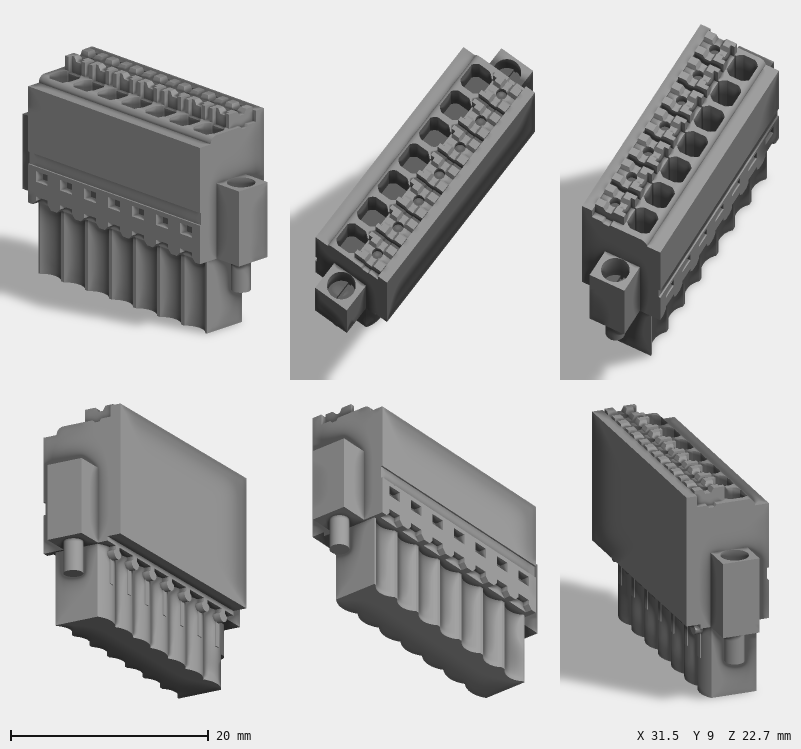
import cadquery as cq
import math


pole_count = 7
pole_pitch = 3.5
top_shift = 0.1

overall_length = 31.5
shell_length = 25.0
shell_depth = 9.0
back_edge_z = 0.47
back_step_y = 7.5
shelf_z = 12.55
deck_z = 13.32
deck_front_y = 1.5
ridge_front_y = 7.88
ridge_z = 14.52
front_groove_low_z = 4.15
front_groove_high_z = 5.5
front_groove_depth = 0.2

deck_groove_center_y = 6.25
deck_groove_top = 1.0
deck_groove_bottom = 0.63
deck_groove_depth = 0.28

wire_hole_radius = 1.58
wire_hole_center_y = 3.15
wire_hole_width = 2.87
wire_hole_front_y = 1.9
wire_hole_depth = 4.72

window_width = 1.7
window_low_z = 2.55
window_height = 1.13
window_depth = 0.95
slot_height = 0.95
slot_depth = 0.75
slot_chamfer = 0.47

plug_front_y = 1.23
plug_side_back_y = 6.17
plug_height = 7.88
scallop_width = 3.05
scallop_depth = 0.65
bulge_depth = 0.57
back_rib_width = 0.63
back_rib_y = 6.85
back_rib_low_z = -3.95

knob_neck_width = 0.7
knob_neck_z = -0.35
knob_width = 1.45
knob_shoulder_z = -0.63
knob_low_z = -1.35

flange_front_y = 2.35
flange_depth = 4.0
flange_height = 8.1

lever_width = 2.87
lever_front_y = 4.57
lever_top_z = 14.85
lever_recess_width = 1.92
lever_recess_depth = 0.47
cross_center_y = 6.35
cross_top = 1.2
cross_bottom = 0.63
cross_depth = 0.5
probe_hole_diameter = 1.13

screw_x = 14.0
screw_head_diameter = 2.9
screw_head_height = 1.9
screw_head_recess = 3.15
screw_shaft_diameter = 2.02
screw_low_z = -3.43
screw_slot_width = 0.38
screw_slot_depth = 0.63

deck_radius = deck_z - shelf_z
pole_xs = [(i - (pole_count - 1) / 2) * pole_pitch for i in range(pole_count)]
top_xs = [x + top_shift for x in pole_xs]
plug_length = pole_count * pole_pitch
plug_back_y = plug_side_back_y + bulge_depth
deck_groove_z = deck_z - deck_groove_depth
flange_center_y = flange_front_y + flange_depth / 2
screw_head_top_z = flange_height - screw_head_recess
screw_head_low_z = screw_head_top_z - screw_head_height


def block(x_range, y_range, z_range):
    """Box between two X, two Y and two Z values."""
    size = [high - low for low, high in (x_range, y_range, z_range)]
    return cq.Workplane("XY").box(*size, centered=False).translate(
        (x_range[0], y_range[0], z_range[0])
    )


def span(center, width):
    """Range of the given width about a center."""
    return center - width / 2, center + width / 2


def shell():
    """Shell: one side outline run along X."""
    arc_reach = deck_radius * math.cos(math.radians(45))
    arc_middle = (deck_front_y + deck_radius - arc_reach, shelf_z + arc_reach)
    arc_end = (deck_front_y + deck_radius, deck_z)
    groove_top_front, groove_top_back = span(deck_groove_center_y, deck_groove_top)
    groove_low_front, groove_low_back = span(deck_groove_center_y, deck_groove_bottom)
    return (
        cq.Workplane("YZ")
        .moveTo(0, 0)
        .lineTo(0, front_groove_low_z)
        .lineTo(front_groove_depth, front_groove_low_z)
        .lineTo(front_groove_depth, front_groove_high_z)
        .lineTo(0, front_groove_high_z)
        .lineTo(0, shelf_z)
        .lineTo(deck_front_y, shelf_z)
        .threePointArc(arc_middle, arc_end)
        .lineTo(groove_top_front, deck_z)
        .lineTo(groove_low_front, deck_groove_z)
        .lineTo(groove_low_back, deck_groove_z)
        .lineTo(groove_top_back, deck_z)
        .lineTo(ridge_front_y, deck_z)
        .lineTo(ridge_front_y, ridge_z)
        .lineTo(shell_depth, ridge_z)
        .lineTo(shell_depth, back_edge_z)
        .lineTo(back_step_y, back_edge_z)
        .lineTo(back_step_y, 0)
        .close()
        .extrude(shell_length / 2, both=True)
    )


def plug():
    """Plug: a concave scallop at the front and a convex bulge at the back of each pole."""
    outline = cq.Workplane("XY").moveTo(-plug_length / 2, plug_front_y)
    for x in pole_xs:
        left, right = span(x, scallop_width)
        outline = outline.lineTo(left, plug_front_y).threePointArc(
            (x, plug_front_y + scallop_depth), (right, plug_front_y)
        )
    outline = outline.lineTo(plug_length / 2, plug_front_y).lineTo(plug_length / 2, plug_side_back_y)
    for x in reversed(pole_xs):
        outline = outline.threePointArc((x, plug_back_y), (x - pole_pitch / 2, plug_side_back_y))
    return outline.close().extrude(-plug_height)


def back_rib(x):
    """Low rib on the crest of a back bulge."""
    return block(span(x, back_rib_width), (plug_side_back_y, back_rib_y), (back_rib_low_z, 0))


def knob(x):
    """Keying knob: a neck that flares to a rounded lower end."""
    neck_left, neck_right = span(x, knob_neck_width)
    left, right = span(x, knob_width)
    return (
        cq.Workplane("XZ", origin=(0, back_step_y, 0))
        .moveTo(neck_left, 0)
        .lineTo(neck_left, knob_neck_z)
        .lineTo(left, knob_shoulder_z)
        .threePointArc((x, knob_low_z), (right, knob_shoulder_z))
        .lineTo(neck_right, knob_neck_z)
        .lineTo(neck_right, 0)
        .close()
        .extrude(back_step_y - plug_side_back_y)
    )


def wire_hole(x):
    """Round hole with flat sides and front, and a square neck at the foot of the lever."""
    low_z = deck_z - wire_hole_depth
    depth_range = (low_z, deck_z)
    round_part = (
        cq.Workplane("XY", origin=(x, wire_hole_center_y, low_z))
        .circle(wire_hole_radius)
        .extrude(wire_hole_depth)
    )
    limits = block(span(x, wire_hole_width), (wire_hole_front_y, lever_front_y), depth_range)
    neck = block(span(x, lever_recess_width), (wire_hole_center_y, lever_front_y), depth_range)
    return round_part.intersect(limits).union(neck)


def window(x):
    """Rectangular blind window in the front wall."""
    return block(
        span(x, window_width), (0, window_depth), (window_low_z, window_low_z + window_height)
    )


def lower_slot(x):
    """Slot in the lower front edge, with chamfered lower corners."""
    left, right = span(x, window_width)
    return (
        cq.Workplane("XZ")
        .moveTo(left - slot_chamfer, 0)
        .lineTo(left, slot_chamfer)
        .lineTo(left, slot_height)
        .lineTo(right, slot_height)
        .lineTo(right, slot_chamfer)
        .lineTo(right + slot_chamfer, 0)
        .close()
        .extrude(-slot_depth)
    )


def lever_block(x, top_z):
    """Footprint of a lever, from the floor of its pocket up to a given height."""
    return block(span(x, lever_width), (lever_front_y, ridge_front_y), (deck_groove_z, top_z))


def flanges():
    """Flanges at both ends, made as one bar that runs through the shell."""
    y_range = (flange_front_y, flange_front_y + flange_depth)
    return block(span(0, overall_length), y_range, (0, flange_height))


def screw_blank(x):
    """Head and shaft of a flange screw, without its slot."""
    center = (x, flange_center_y)
    head = (
        cq.Workplane("XY", origin=(*center, screw_head_low_z))
        .circle(screw_head_diameter / 2)
        .extrude(screw_head_height)
    )
    shaft = (
        cq.Workplane("XY", origin=(*center, screw_low_z))
        .circle(screw_shaft_diameter / 2)
        .extrude(screw_head_low_z - screw_low_z)
    )
    return head.union(shaft)


def screw_bore(x):
    """Hole in a flange that fits its screw and stays open above the head."""
    access = (
        cq.Workplane("XY", origin=(x, flange_center_y, screw_head_top_z))
        .circle(screw_head_diameter / 2)
        .extrude(screw_head_recess)
    )
    return screw_blank(x).union(access)


def make_housing():
    """Shell, plug and flanges as one body."""
    body = shell().union(plug()).union(flanges())
    for x in pole_xs:
        body = body.union(back_rib(x)).union(knob(x))
        body = body.cut(window(x)).cut(lower_slot(x))
    for x in top_xs:
        body = body.cut(wire_hole(x)).cut(lever_block(x, deck_z))
    for x in (-screw_x, screw_x):
        body = body.cut(screw_bore(x))
    return body


def cross_groove(plane, origin, length):
    """Cutter for one groove of the cross: flat bottom and sloping sides."""
    return (
        cq.Workplane(plane, origin=origin)
        .moveTo(-cross_top / 2, 0)
        .lineTo(-cross_bottom / 2, -cross_depth)
        .lineTo(cross_bottom / 2, -cross_depth)
        .lineTo(cross_top / 2, 0)
        .close()
        .extrude(length, both=True)
    )


def make_lever(x):
    """Release lever: a block with a front recess, a cross groove and a probe hole."""
    body = lever_block(x, lever_top_z)
    recess = block(
        span(x, lever_recess_width),
        (lever_front_y, lever_front_y + lever_recess_depth),
        (deck_groove_z, lever_top_z),
    )
    cross_center = (x, cross_center_y, lever_top_z)
    probe_hole = (
        cq.Workplane("XY", origin=(x, cross_center_y, deck_z))
        .circle(probe_hole_diameter / 2)
        .extrude(lever_top_z - deck_z)
    )
    return (
        body.cut(recess)
        .cut(cross_groove("YZ", cross_center, lever_width))
        .cut(cross_groove("XZ", cross_center, ridge_front_y - lever_front_y))
        .cut(probe_hole)
    )


def make_screw(x):
    """Flange screw with a straight driver slot across its head."""
    slot = block(
        span(x, screw_head_diameter),
        span(flange_center_y, screw_slot_width),
        (screw_head_top_z - screw_slot_depth, screw_head_top_z),
    )
    return screw_blank(x).cut(slot)


housing = make_housing()
levers = [make_lever(x) for x in top_xs]
screws = [make_screw(x) for x in (-screw_x, screw_x)]

result = cq.Compound.makeCompound(
    [housing.val()]
    + [lever.val() for lever in levers]
    + [screw.val() for screw in screws]
)